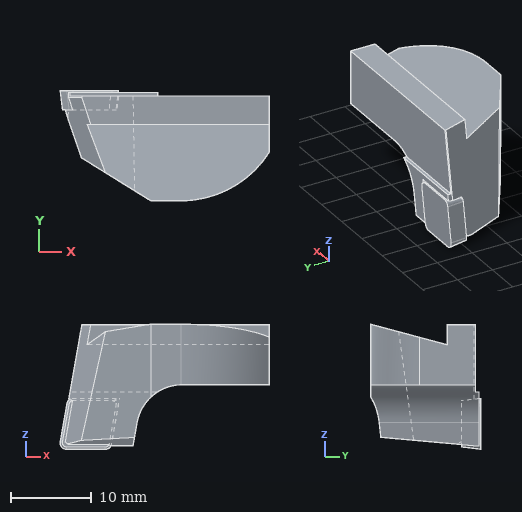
import cadquery as cq
import math


CORNER_ANGLE = 80.0
INSCRIBED_DIAMETER = 6.35
INSERT_THICKNESS = 2.4
INSERT_CORNER_RADIUS = 0.8
RELIEF_ANGLE = 7.0

LENGTH = 26.0
BACK_Y = -0.68
FRONT_Y = -13.7
FACET_START_X = 11.28
FACET_SLOPE = 0.62
ARC_START_X = 15.0
ARC_RADIUS = 13.0

RAIL_TOP_Z = 15.5
BODY_TOP_Z = 15.55
UNDERSIDE_Z = 8.0
LEG_BOTTOM_Z = 0.45
LEG_RIGHT_X = 9.07
LEG_ARC_RADIUS = 5.65
FLANK_TOP_X = 2.7
LEG_CORNER_RADIUS = 1.4

RAIL_FRONT_Y = -4.19
FLOOR_LOW_Z = 13.0
RELIEF_START_Y = -0.83
FLANK_SLOPE = 0.33
BOTTOM_SLOPE = 0.09

PAD_BACK_Y = -0.23
PAD_TOP_Z = 7.15

MARGIN = 2.6
LEAN = math.radians(90 - CORNER_ANGLE)
LEAN_SLOPE = math.tan(LEAN)


def flank_x(z):
    """Left side of the holder at height z, before its relief begins."""
    return FLANK_TOP_X - (RAIL_TOP_Z - z) * LEAN_SLOPE


def rhombic_plate(rounded):
    """Relieved rhombic plate, with or without rounded corners."""
    side = INSCRIBED_DIAMETER / math.sin(math.radians(CORNER_ANGLE))
    radius = INSERT_CORNER_RADIUS
    corner_x = radius - radius * math.tan(math.radians(90 - CORNER_ANGLE / 2))
    rise_x = INSCRIBED_DIAMETER * LEAN_SLOPE
    rhombus = [
        (corner_x, 0),
        (corner_x + side, 0),
        (corner_x + side + rise_x, INSCRIBED_DIAMETER),
        (corner_x + rise_x, INSCRIBED_DIAMETER),
    ]
    sketch = cq.Sketch().polygon(rhombus + rhombus[:1])
    if rounded:
        sketch = sketch.vertices().fillet(radius)
    plate = cq.Workplane("XZ").placeSketch(sketch)
    return plate.extrude(INSERT_THICKNESS, taper=RELIEF_ANGLE).solids()


def make_holder():
    """Holder with a sharp-cornered pocket that leaves gaps at the insert's round corners."""
    return (
        side_profile()
        .intersect(plan_outline())
        .intersect(cross_section())
        .cut(flank_relief())
        .cut(rhombic_plate(rounded=False))
        .solids()
    )


def side_profile():
    """Leg and head extruded across the full width, with a rounded lower left corner."""
    arc_center_z = UNDERSIDE_Z - LEG_ARC_RADIUS
    tangent_z = arc_center_z + LEG_ARC_RADIUS * math.sin(LEAN)
    tangent_x = LEG_RIGHT_X + (tangent_z - LEG_BOTTOM_Z) * LEAN_SLOPE
    arc_center_x = tangent_x + LEG_ARC_RADIUS * math.cos(LEAN)
    mid_angle = (math.pi / 2 + math.pi - LEAN) / 2
    arc_middle = (
        arc_center_x + LEG_ARC_RADIUS * math.cos(mid_angle),
        arc_center_z + LEG_ARC_RADIUS * math.sin(mid_angle),
    )
    corner_x = flank_x(LEG_BOTTOM_Z)
    profile = (
        cq.Workplane("XZ")
        .moveTo(corner_x, LEG_BOTTOM_Z)
        .lineTo(LEG_RIGHT_X, LEG_BOTTOM_Z)
        .lineTo(tangent_x, tangent_z)
        .threePointArc(arc_middle, (arc_center_x, UNDERSIDE_Z))
        .lineTo(LENGTH, UNDERSIDE_Z)
        .lineTo(LENGTH, BODY_TOP_Z)
        .lineTo(flank_x(BODY_TOP_Z), BODY_TOP_Z)
        .close()
        .extrude(-FRONT_Y)
    )
    corner = cq.selectors.NearestToPointSelector((corner_x, FRONT_Y / 2, LEG_BOTTOM_Z))
    return profile.edges("|Y").edges(corner).fillet(LEG_CORNER_RADIUS)


def plan_outline():
    """Outline from above: slanted facet, straight front, and round right end."""
    end_dx = LENGTH - ARC_START_X
    arc_center_y = FRONT_Y + ARC_RADIUS
    end_y = arc_center_y - math.sqrt(ARC_RADIUS**2 - end_dx**2)
    half_angle = math.asin(end_dx / ARC_RADIUS) / 2
    arc_middle = (
        ARC_START_X + ARC_RADIUS * math.sin(half_angle),
        arc_center_y - ARC_RADIUS * math.cos(half_angle),
    )
    facet_left_y = FRONT_Y + (FACET_START_X + MARGIN) * FACET_SLOPE
    return (
        cq.Workplane("XY")
        .moveTo(-MARGIN, PAD_BACK_Y)
        .lineTo(-MARGIN, facet_left_y)
        .lineTo(FACET_START_X, FRONT_Y)
        .lineTo(ARC_START_X, FRONT_Y)
        .threePointArc(arc_middle, (LENGTH, end_y))
        .lineTo(LENGTH, PAD_BACK_Y)
        .close()
        .extrude(BODY_TOP_Z)
    )


def cross_section():
    """Outline across the width: back pad, rail, sloping floor and rising bottom."""
    bottom_front_z = LEG_BOTTOM_Z + (RELIEF_START_Y - FRONT_Y) * BOTTOM_SLOPE
    points = [
        (PAD_BACK_Y, LEG_BOTTOM_Z),
        (PAD_BACK_Y, PAD_TOP_Z),
        (BACK_Y, PAD_TOP_Z),
        (BACK_Y, RAIL_TOP_Z),
        (RAIL_FRONT_Y, RAIL_TOP_Z),
        (RAIL_FRONT_Y, FLOOR_LOW_Z),
        (FRONT_Y, BODY_TOP_Z),
        (FRONT_Y, bottom_front_z),
        (RELIEF_START_Y, LEG_BOTTOM_Z),
    ]
    return cq.Workplane("YZ").polyline(points).close().extrude(LENGTH)


def flank_relief():
    """Wedge outside the left flank, widening toward the front."""
    depth = RELIEF_START_Y - FRONT_Y
    wedge = [
        (0, RELIEF_START_Y),
        (depth * FLANK_SLOPE, FRONT_Y),
        (-MARGIN, FRONT_Y),
        (-MARGIN, RELIEF_START_Y),
    ]
    lower = cq.Wire.makePolygon([cq.Vector(flank_x(0) + x, y, 0) for x, y in wedge], close=True)
    sweep = cq.Vector(BODY_TOP_Z * LEAN_SLOPE, 0, BODY_TOP_Z)
    return cq.Workplane(cq.Solid.extrudeLinear(lower, [], sweep))


insert = rhombic_plate(rounded=True)
holder = make_holder()

result = cq.Compound.makeCompound([holder.val(), insert.val()])